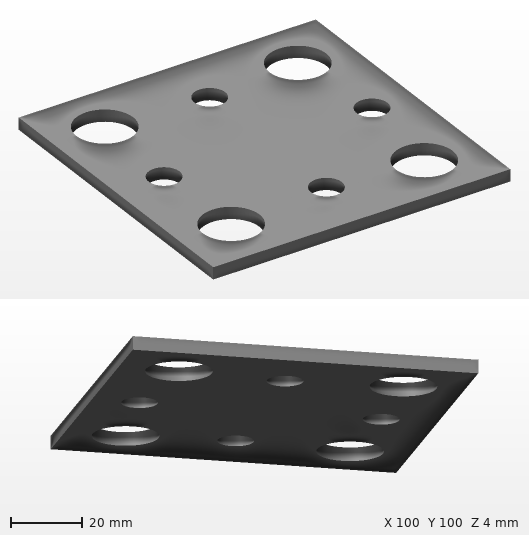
import cadquery as cq

side = 100.0
thickness = 4.0

corner_hole_diameter = 19.1
corner_hole_spacing = 65.0

cross_hole_diameter = 10.4
cross_spacing_x = 60.0
cross_spacing_y = 70.0
cross_center_y = 1.2

corner_hole_points = [
    (sign_x * corner_hole_spacing / 2, sign_y * corner_hole_spacing / 2)
    for sign_x in (-1, 1)
    for sign_y in (-1, 1)
]

cross_hole_points = []
for sign in (-1, 1):
    cross_hole_points.append((sign * cross_spacing_x / 2, cross_center_y))
    cross_hole_points.append((0, cross_center_y + sign * cross_spacing_y / 2))


def drill_through(plate, points, diameter):
    """Drill a through hole at each point, measured from the plate centre."""
    return plate.faces(">Z").workplane(origin=(0, 0, 0)).pushPoints(points).hole(diameter)


plate = cq.Workplane("XY").box(side, side, thickness)
plate = drill_through(plate, corner_hole_points, corner_hole_diameter)
result = drill_through(plate, cross_hole_points, cross_hole_diameter)